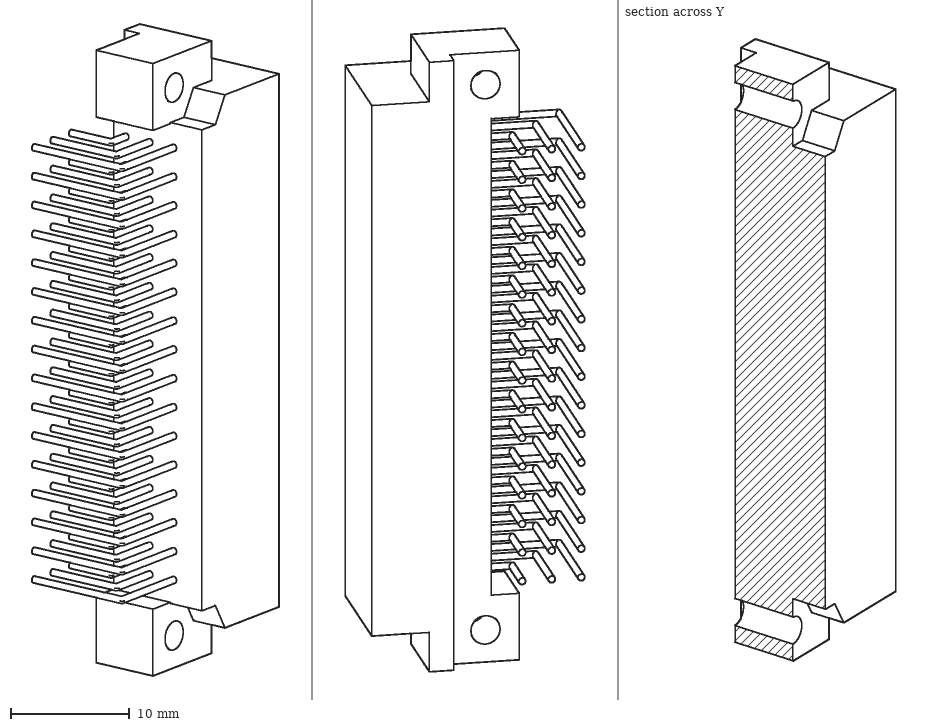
import cadquery as cq


body_width = 11.0
body_depth = 10.6
body_length = 47.0
end_relief_length = 2.3
relief_slope_start = 7.45
relief_slope_end = 8.75

overall_length = 54.0
flange_width = 7.65
flange_front = 4.95
flange_depth = 13.0
end_block_length = 5.9

step_start = 7.05
step_recess = 1.6

hole_diameter = 2.5
hole_depth_position = 10.1
hole_end_distance = 2.85

pin_diameter = 0.6
pin_pitch = 2.54
pins_per_row = 16
row_count = 3
pin_projection = 1.35
overall_depth = 18.02
last_row_leg_x = 8.0
pin_embed = 1.0


def box_between(x_range, depth_range, z_range):
    """Box spanning the given X, Y-depth and Z ranges."""
    x_size = x_range[1] - x_range[0]
    y_size = depth_range[1] - depth_range[0]
    z_size = z_range[1] - z_range[0]
    corner = (x_range[0], -depth_range[1], z_range[0])
    return cq.Workplane("XY").box(x_size, y_size, z_size, centered=False).translate(corner)


def make_body():
    """Housing whose two ends slope inward toward the pin face."""
    half = body_length / 2
    short_half = half - end_relief_length
    outline = [
        (0, half),
        (-relief_slope_start, half),
        (-relief_slope_end, short_half),
        (-body_depth, short_half),
        (-body_depth, -short_half),
        (-relief_slope_end, -short_half),
        (-relief_slope_start, -half),
        (0, -half),
    ]
    return cq.Workplane("YZ").polyline(outline).close().extrude(body_width)


def make_flange():
    """Full-length flange with a deeper mounting block at each end."""
    half = overall_length / 2
    inner = half - end_block_length
    x_range = (0, flange_width)
    flange = box_between(x_range, (flange_front, body_depth), (-half, half))
    for z_range in ((-half, -inner), (inner, half)):
        flange = flange.union(box_between(x_range, (flange_front, flange_depth), z_range))
    return flange


def make_step_cutter():
    """Recess in the mounting face, open toward the pin side."""
    half = overall_length / 2
    return box_between((0, step_recess), (step_start, flange_depth), (-half, half))


def make_hole_cutter():
    """Pair of mounting holes running through the part along X."""
    hole_z = overall_length / 2 - hole_end_distance
    centers = [(-hole_depth_position, hole_z), (-hole_depth_position, -hole_z)]
    return cq.Workplane("YZ").pushPoints(centers).circle(hole_diameter / 2).extrude(body_width)


def make_pin(row):
    """Right-angle pin with a rounded outer bend at Z = 0; row 0 is the outermost row."""
    leg_x = last_row_leg_x - row * pin_pitch
    tail_depth = overall_depth - pin_diameter / 2 - row * pin_pitch
    leg_start = -(body_depth - pin_embed)
    path = (
        cq.Workplane("XY")
        .moveTo(leg_x, leg_start)
        .lineTo(leg_x, -tail_depth)
        .lineTo(-pin_projection, -tail_depth)
    )
    section = cq.Workplane("XZ", origin=(leg_x, leg_start, 0)).circle(pin_diameter / 2)
    return section.sweep(path, transition="round").val()


def make_pins():
    """All pins, row by row, evenly spaced about Z = 0."""
    first_z = -pin_pitch * (pins_per_row - 1) / 2
    pins = []
    for row in range(row_count):
        pin = make_pin(row)
        for index in range(pins_per_row):
            pins.append(pin.translate(cq.Vector(0, 0, first_z + index * pin_pitch)))
    return pins


housing = make_body().union(make_flange()).cut(make_step_cutter()).cut(make_hole_cutter())
result = cq.Workplane(housing.val().fuse(*make_pins()))